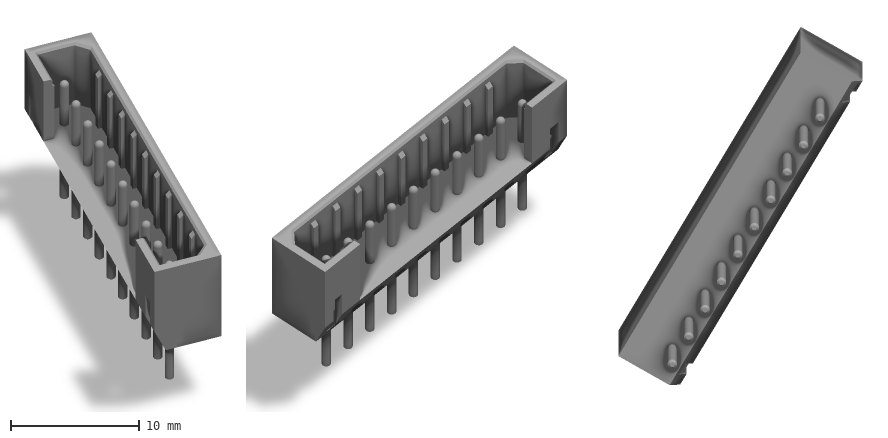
import cadquery as cq

LENGTH = 28.22
WIDTH = 5.6
HEIGHT = 8.4
FLOOR_THICKNESS = 2.2
WALL = 0.75
SIDE_WALL = 0.8
CORNER_CUT = 0.95
RIM_CHAMFER = 0.17
UNDERCUT_DEPTH = 0.95
TAB_LENGTH = 4.1

WINDOW_WIDTH = 1.0
WINDOW_FROM_END = 1.0
WINDOW_BOTTOM = 0.6
WINDOW_TOP = 4.45

PIN_COUNT = 10
PITCH = 2.55
PIN_DIAMETER = 0.73
PIN_Y = 2.29
PIN_TAIL = 5.5
PIN_TOP = 6.58
TAIL_CHAMFER = 0.17

RIB_WIDTH = 0.55
RIB_DEPTH = 0.35
RIB_TOP = 7.75
RIDGE_RADIUS = 0.23

HALF_LENGTH = LENGTH / 2
CAVITY_BACK = WIDTH - WALL
PIN_RADIUS = PIN_DIAMETER / 2


def centred_positions(count):
    """X positions of a row at the contact pitch, centred on the housing."""
    return [(i - (count - 1) / 2) * PITCH for i in range(count)]


def box_between(x_range, y_range, z_range):
    """Box given by its limits along each axis."""
    size = [high - low for low, high in (x_range, y_range, z_range)]
    corner = (x_range[0], y_range[0], z_range[0])
    return cq.Workplane("XY").box(*size, centered=False).translate(corner)


def side_extrusion(points, length):
    """Extrude a (Y, Z) outline along X, centred on X = 0."""
    return cq.Workplane("YZ").polyline(points).close().extrude(length / 2, both=True)


def cavity_outline(growth, z):
    """Cavity outline at height z, widened by growth on every side, rear corners cut at 45 degrees."""
    side = HALF_LENGTH - SIDE_WALL + growth
    front = WALL - growth
    back = CAVITY_BACK + growth
    points = [
        (-side, front),
        (side, front),
        (side, back - CORNER_CUT),
        (side - CORNER_CUT, back),
        (-side + CORNER_CUT, back),
        (-side, back - CORNER_CUT),
    ]
    return cq.Workplane("XY", origin=(0, 0, z)).polyline(points).close()


def make_shell():
    """Block with a sloped lower front, hollowed by a cavity with a chamfered rim."""
    shell = side_extrusion(
        [
            (UNDERCUT_DEPTH, 0),
            (WIDTH, 0),
            (WIDTH, HEIGHT),
            (0, HEIGHT),
            (0, FLOOR_THICKNESS),
        ],
        LENGTH,
    )
    bore = cavity_outline(0, FLOOR_THICKNESS).extrude(HEIGHT - FLOOR_THICKNESS)
    lower_edge = cavity_outline(0, HEIGHT - RIM_CHAMFER).val()
    upper_edge = cavity_outline(RIM_CHAMFER, HEIGHT).val()
    flare = cq.Workplane(cq.Solid.makeLoft([lower_edge, upper_edge], True))
    return shell.cut(bore).cut(flare)


def make_front_opening():
    """Gap between the two front tabs, down to the cavity floor."""
    half_gap = HALF_LENGTH - TAB_LENGTH
    return box_between((-half_gap, half_gap), (0, WALL), (FLOOR_THICKNESS, HEIGHT))


def make_window(side):
    """Cutter for the window in the tab at the given end (-1 or +1)."""
    centre = side * (HALF_LENGTH - WINDOW_FROM_END - WINDOW_WIDTH / 2)
    x_range = (centre - WINDOW_WIDTH / 2, centre + WINDOW_WIDTH / 2)
    return box_between(x_range, (0, WALL), (WINDOW_BOTTOM, WINDOW_TOP))


def make_rib():
    """Rear wall rib with a 45 degree sloped top."""
    rib_front = CAVITY_BACK - RIB_DEPTH
    return side_extrusion(
        [
            (rib_front, FLOOR_THICKNESS),
            (CAVITY_BACK, FLOOR_THICKNESS),
            (CAVITY_BACK, RIB_TOP),
            (rib_front, RIB_TOP - RIB_DEPTH),
        ],
        RIB_WIDTH,
    )


def make_ridge(side):
    """Half-round ridge inside a tab, tangent to the tab end, with a 45 degree sloped top."""
    centre = side * (HALF_LENGTH - TAB_LENGTH + RIDGE_RADIUS)
    ridge_back = WALL + RIDGE_RADIUS
    profile = side_extrusion(
        [
            (WALL, FLOOR_THICKNESS),
            (ridge_back, FLOOR_THICKNESS),
            (ridge_back, RIB_TOP - RIDGE_RADIUS),
            (WALL, RIB_TOP),
        ],
        2 * RIDGE_RADIUS,
    )
    column = cq.Workplane("XY").circle(RIDGE_RADIUS).extrude(HEIGHT).translate((0, WALL, 0))
    return profile.intersect(column).translate((centre, 0, 0))


def make_pin():
    """Round contact with a domed top and a chamfered tail."""
    shoulder = PIN_TOP - PIN_RADIUS
    shaft = cq.Workplane("XY", origin=(0, PIN_Y, -PIN_TAIL)).circle(PIN_RADIUS).extrude(PIN_TAIL + shoulder)
    shaft = shaft.faces("<Z").chamfer(TAIL_CHAMFER)
    dome = cq.Workplane("XY", origin=(0, PIN_Y, shoulder)).sphere(PIN_RADIUS)
    return shaft.union(dome)


result = make_shell().cut(make_front_opening())

for end in (-1, 1):
    result = result.cut(make_window(end)).union(make_ridge(end))

rib = make_rib()
for x in centred_positions(PIN_COUNT - 1):
    result = result.union(rib.translate((x, 0, 0)))

pin = make_pin()
for x in centred_positions(PIN_COUNT):
    result = result.union(pin.translate((x, 0, 0)))